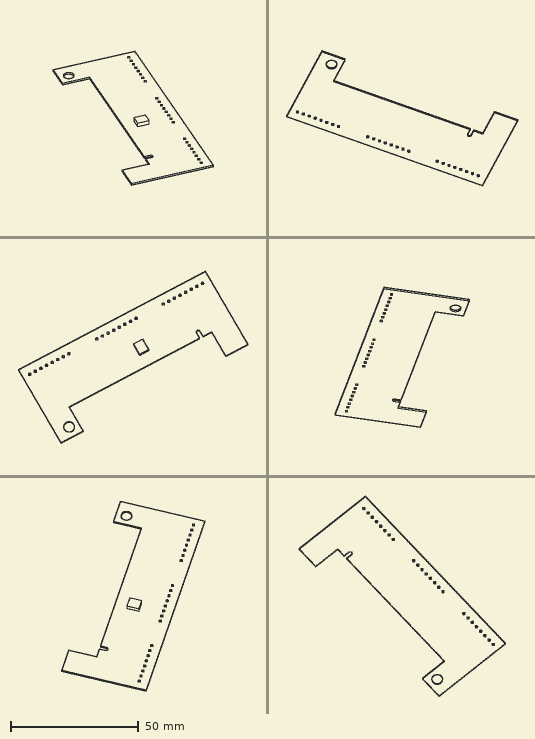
import cadquery as cq

board_length = 84.0
board_width = 34.5
board_thickness = 0.8
leg_width = 10.0
leg_length = 11.4

mount_hole_diameter = 4.2
mount_hole_x = 6.0
mount_hole_y = 4.2

slot_width = 1.5
slot_depth = 3.3
slot_x = 69.4

pin_hole_diameter = 0.9
pin_pitch = 2.5
pins_per_row = 8
pin_row_edge_distance = 3.8
pin_row_starts = [2.9, 33.1, 62.9]

overall_height = 2.5
chip_length = 4.1
chip_width = 4.9
chip_x = 46.5
chip_y = 19.0
chip_height = overall_height - board_thickness


def board_blank():
    """Plate outline with the two legs and the edge slot."""
    slot_radius = slot_width / 2
    slot_left = slot_x - slot_radius
    slot_right = slot_x + slot_radius
    slot_end = leg_length + slot_depth
    slot_arc_start = slot_end - slot_radius
    right_leg_x = board_length - leg_width
    return (
        cq.Workplane("XY")
        .lineTo(leg_width, 0)
        .lineTo(leg_width, leg_length)
        .lineTo(slot_left, leg_length)
        .lineTo(slot_left, slot_arc_start)
        .threePointArc((slot_x, slot_end), (slot_right, slot_arc_start))
        .lineTo(slot_right, leg_length)
        .lineTo(right_leg_x, leg_length)
        .lineTo(right_leg_x, 0)
        .lineTo(board_length, 0)
        .lineTo(board_length, board_width)
        .lineTo(0, board_width)
        .close()
        .extrude(board_thickness)
    )


def through_holes(centers, diameter):
    """Cutters for round holes through the full board thickness."""
    return cq.Workplane("XY").pushPoints(centers).circle(diameter / 2).extrude(board_thickness)


def pin_hole_centers():
    """Centers of every pin hole, row by row."""
    row_y = board_width - pin_row_edge_distance
    return [
        (start + index * pin_pitch, row_y)
        for start in pin_row_starts
        for index in range(pins_per_row)
    ]


def make_board():
    """Board with its mounting hole and pin holes."""
    mount_hole = through_holes([(mount_hole_x, mount_hole_y)], mount_hole_diameter)
    pin_holes = through_holes(pin_hole_centers(), pin_hole_diameter)
    return board_blank().cut(mount_hole).cut(pin_holes)


def make_chip():
    """Rectangular chip resting on the top face of the board."""
    return (
        cq.Workplane("XY", origin=(chip_x, chip_y, board_thickness))
        .rect(chip_length, chip_width)
        .extrude(chip_height)
    )


board = make_board()
chip = make_chip()
result = cq.Compound.makeCompound([board.val(), chip.val()])